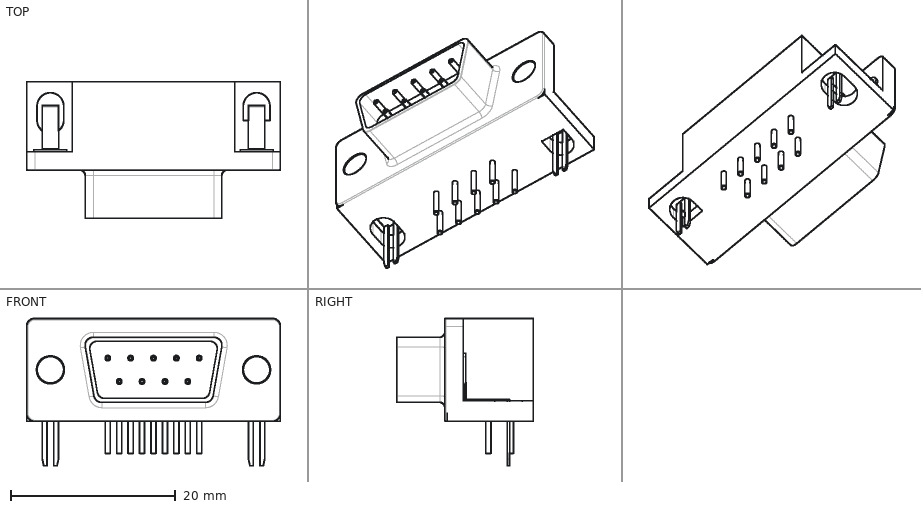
import cadquery as cq
import math


LENGTH = 30.8
HEIGHT = 12.5
DEPTH = 16.57
PLATE_FRONT_Y = 5.82
PLATE_THICKNESS = 0.3
PLATE_EDGE_RADIUS = 0.15
FLANGE_REAR_Y = 8.07
CORNER_RADIUS = 1.0
BLOCK_WIDTH = 19.7
FOOT_HEIGHT = 2.5
MID_Z = HEIGHT / 2

MOUNT_X = 12.5
HOLE_DIAMETER = 3.2
HOLE_CHAMFER = 0.1
BOSS_DIAMETER = 4.0
BOSS_THICKNESS = 0.28
BOSS_REAR_Y = FLANGE_REAR_Y + BOSS_THICKNESS
SLOT_WIDTH = 3.2
SLOT_REAR_Y = DEPTH - 1.35
SLOT_STRAIGHT = 1.72

SHELL_HEIGHT = 7.92
SHELL_TOP_WIDTH = 16.6
SHELL_CORNER_RADIUS = 1.0
SHELL_SLANT = 10.0
SHELL_WALL = 0.5
SHELL_INNER_RADIUS = 0.9
SHELL_ROOT_RADIUS = 0.62
SHELL_RIM_RADIUS = 0.05
CAVITY_DEPTH = 3.75

PIN_DIAMETER = 0.65
PIN_PITCH = 2.77
PIN_ROW_SPACING = 2.83
PIN_RECESS = 0.2
PIN_TIP_CHAMFER = 0.15
TAIL_LENGTH = 3.95
TAIL_TIP_CHAMFER = 0.1
TAIL_FRONT_Y = 11.12
TAIL_REAR_Y = 13.85
PIN_EMBED = 0.62

BRACKET_WIDTH = 2.0
BRACKET_SHEET = 0.2
BRACKET_GAP = 0.2
BRACKET_TOP_Z = 4.68
BRACKET_REAR_Y = DEPTH - 2.85
BRACKET_BEND_RADIUS = 0.15
LEG_THICKNESS = 0.3
LEG_GAP = 0.8
LEG_LENGTH = 5.4
LEG_TAPER_HEIGHT = 0.83
LEG_TAPER_WIDTH = 0.2


def box(x_range, y_range, z_range):
    """Axis-aligned box from its limits along X, Y and Z."""
    size = [high - low for low, high in (x_range, y_range, z_range)]
    corner = (x_range[0], y_range[0], z_range[0])
    return cq.Workplane("XY").box(*size, centered=False).translate(corner)


def rod_y(x, z, diameter, y_start, y_end):
    """Round bar along Y."""
    plane = cq.Workplane("XZ", origin=(x, y_start, z))
    return plane.circle(diameter / 2).extrude(y_start - y_end)


def d_prism(inset, corner_radius, y_start, y_end):
    """Prism along Y with the D outline moved inward by inset."""
    slant = math.radians(SHELL_SLANT)
    half_height = SHELL_HEIGHT / 2 - inset
    arc_center_x = SHELL_TOP_WIDTH / 2 - SHELL_CORNER_RADIUS
    corner_reach = SHELL_CORNER_RADIUS * (1 + math.sin(slant)) / math.cos(slant)
    side_shift = inset / math.cos(slant)
    top_x = arc_center_x + corner_reach - side_shift - inset * math.tan(slant)
    bottom_x = top_x - 2 * half_height * math.tan(slant)
    outline = [
        (-top_x, half_height),
        (top_x, half_height),
        (bottom_x, -half_height),
        (-bottom_x, -half_height),
    ]
    plane = cq.Workplane("XZ", origin=(0, y_start, MID_Z))
    prism = plane.polyline(outline).close().extrude(y_start - y_end)
    return prism.edges("|Y").fillet(corner_radius)


def make_housing():
    """Front plate, flange with rounded top corners, rear block and base."""
    half = LENGTH / 2
    seam_y = PLATE_FRONT_Y + PLATE_THICKNESS
    plate = box((-half, half), (PLATE_FRONT_Y, seam_y), (0, HEIGHT))
    plate = plate.edges("|Y").fillet(CORNER_RADIUS)
    plate = plate.faces("<Y").edges().fillet(PLATE_EDGE_RADIUS)
    flange = box((-half, half), (seam_y, FLANGE_REAR_Y), (0, HEIGHT))
    flange = flange.edges("|Y and >Z").fillet(CORNER_RADIUS)
    block = box((-BLOCK_WIDTH / 2, BLOCK_WIDTH / 2), (seam_y, DEPTH), (0, HEIGHT))
    base = box((-half, half), (seam_y, DEPTH), (0, FOOT_HEIGHT))
    return flange.union(base).union(block).union(plate)


def make_shell():
    """Solid D shell with a slightly rounded rim."""
    shell = d_prism(0, SHELL_CORNER_RADIUS, 0, PLATE_FRONT_Y)
    return shell.faces("<Y").edges().fillet(SHELL_RIM_RADIUS)


def fillet_shell_root(body):
    """Concave fillet around the foot of the shell."""
    margin = SHELL_ROOT_RADIUS / 2
    half_width = SHELL_TOP_WIDTH / 2 + margin
    half_height = SHELL_HEIGHT / 2 + margin
    low = (-half_width, PLATE_FRONT_Y - margin, MID_Z - half_height)
    high = (half_width, PLATE_FRONT_Y + margin, MID_Z + half_height)
    root_edges = cq.selectors.BoxSelector(low, high, boundingbox=True)
    return body.edges(root_edges).fillet(SHELL_ROOT_RADIUS)


def make_mount_hole(x):
    """Cutter for a mounting bore with a chamfered mouth in the front plate."""
    bore = rod_y(x, MID_Z, HOLE_DIAMETER, PLATE_FRONT_Y, BOSS_REAR_Y)
    mouth = cq.Solid.makeCone(
        HOLE_DIAMETER / 2 + HOLE_CHAMFER,
        HOLE_DIAMETER / 2,
        HOLE_CHAMFER,
        pnt=cq.Vector(x, PLATE_FRONT_Y, MID_Z),
        dir=cq.Vector(0, 1, 0),
    )
    return bore.union(cq.Workplane(mouth))


def make_foot_slot(x, round_front):
    """Slot through a foot, round at the rear and round or square in front."""
    radius = SLOT_WIDTH / 2
    rear_y = SLOT_REAR_Y - radius
    front_y = rear_y - SLOT_STRAIGHT
    slot = box((x - radius, x + radius), (front_y, rear_y), (0, FOOT_HEIGHT))
    ends = [rear_y, front_y] if round_front else [rear_y]
    for y in ends:
        slot = slot.union(cq.Workplane("XY").center(x, y).circle(radius).extrude(FOOT_HEIGHT))
    return slot


def make_contact(x, z, tail_y):
    """Mating pin along Y and its solder tail along Z, both set into the housing."""
    pin = rod_y(x, z, PIN_DIAMETER, PIN_RECESS, CAVITY_DEPTH + PIN_EMBED)
    pin = pin.faces("<Y").chamfer(PIN_TIP_CHAMFER)
    tail = cq.Workplane("XY", origin=(x, tail_y, -TAIL_LENGTH))
    tail = tail.circle(PIN_DIAMETER / 2).extrude(TAIL_LENGTH + PIN_EMBED)
    return pin.union(tail.faces("<Z").chamfer(TAIL_TIP_CHAMFER))


def make_bracket(x):
    """Bent strap behind the flange with a forked leg through the foot slot."""
    half = BRACKET_WIDTH / 2
    front_y = FLANGE_REAR_Y + BRACKET_GAP
    strap_top = FOOT_HEIGHT + BRACKET_SHEET
    x_range = (x - half, x + half)
    upright = box(x_range, (front_y, front_y + BRACKET_SHEET), (FOOT_HEIGHT, BRACKET_TOP_Z))
    strap = box(x_range, (front_y, BRACKET_REAR_Y), (FOOT_HEIGHT, strap_top))
    strap = strap.edges(">Y and >Z").fillet(BRACKET_BEND_RADIUS)
    bracket = upright.union(strap)
    tip_z = -LEG_LENGTH
    taper_z = tip_z + LEG_TAPER_HEIGHT
    for side in (-1, 1):
        outline = [
            (side * LEG_GAP / 2, FOOT_HEIGHT),
            (side * half, FOOT_HEIGHT),
            (side * half, taper_z),
            (side * (half - LEG_TAPER_WIDTH), tip_z),
            (side * LEG_GAP / 2, tip_z),
        ]
        plane = cq.Workplane("XZ", origin=(x, BRACKET_REAR_Y, 0))
        bracket = bracket.union(plane.polyline(outline).close().extrude(LEG_THICKNESS))
    return bracket


result = fillet_shell_root(make_housing().union(make_shell()))
result = result.cut(d_prism(SHELL_WALL, SHELL_INNER_RADIUS, 0, CAVITY_DEPTH))

for side in (-1, 1):
    mount_x = side * MOUNT_X
    result = result.union(rod_y(mount_x, MID_Z, BOSS_DIAMETER, FLANGE_REAR_Y, BOSS_REAR_Y))
    result = result.cut(make_foot_slot(mount_x, round_front=side < 0))
    result = result.union(make_bracket(mount_x))
    result = result.cut(make_mount_hole(mount_x))

for index in range(-4, 5):
    upper = index % 2 == 0
    pin_z = MID_Z + PIN_ROW_SPACING / 2 * (1 if upper else -1)
    tail_y = TAIL_REAR_Y if upper else TAIL_FRONT_Y
    result = result.union(make_contact(index * PIN_PITCH / 2, pin_z, tail_y))